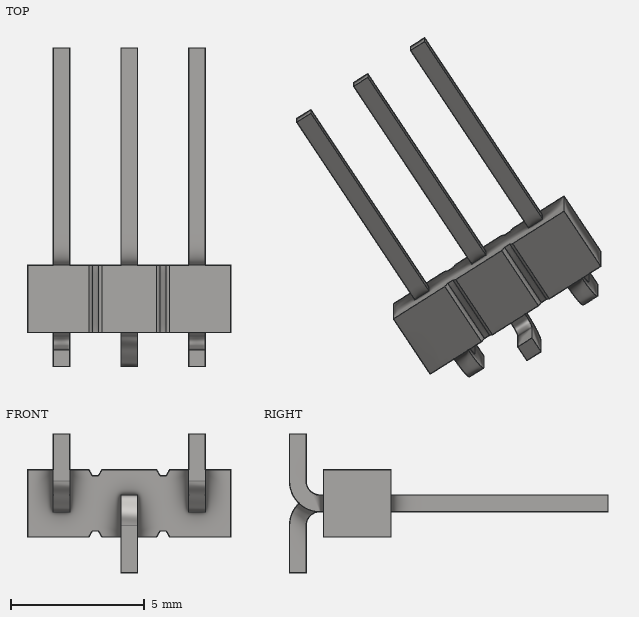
import cadquery as cq

pin_count = 3
pitch = 7.62 / pin_count
housing_length = pin_count * pitch
housing_side = 2.53
notch_mouth = 0.49
notch_floor = 0.23
notch_depth = 0.23

pin_side = 0.63
pin_half = pin_side / 2
bend_inner_radius = 0.51
bend_outer_radius = bend_inner_radius + pin_side
overall_depth = 11.94
overall_height = 5.2
front_reach = 1.28
foot_tip = overall_height / 2

pin_front = -housing_side / 2 - front_reach
pin_back = pin_front + overall_depth
bend_start = pin_front + bend_outer_radius
bend_height = bend_outer_radius - pin_half


def make_pin(x, direction):
    """Pin along Y whose front foot is bent up (direction 1) or down (-1)."""
    pin = (
        cq.Workplane("YZ")
        .moveTo(pin_back, -pin_half)
        .lineTo(bend_start, -pin_half)
        .radiusArc((pin_front, bend_height), bend_outer_radius)
        .lineTo(pin_front, foot_tip)
        .lineTo(pin_front + pin_side, foot_tip)
        .lineTo(pin_front + pin_side, bend_height)
        .radiusArc((bend_start, pin_half), -bend_inner_radius)
        .lineTo(pin_back, pin_half)
        .close()
        .extrude(pin_half, both=True)
    )
    if direction < 0:
        pin = pin.mirror("XY")
    return pin.translate((x, 0, 0))


def make_notch(x, side):
    """Cutter for a tapered notch across the top (side 1) or bottom (-1)."""
    face = side * housing_side / 2
    floor = face - side * notch_depth
    return (
        cq.Workplane("XZ")
        .polyline([
            (x - notch_mouth / 2, face),
            (x - notch_floor / 2, floor),
            (x + notch_floor / 2, floor),
            (x + notch_mouth / 2, face),
        ])
        .close()
        .extrude(housing_side / 2, both=True)
    )


def make_housing():
    """Notched block that carries the two outer pins as one piece."""
    housing = cq.Workplane("XY").box(housing_length, housing_side, housing_side)
    for x in (-pitch / 2, pitch / 2):
        for side in (1, -1):
            housing = housing.cut(make_notch(x, side))
    for x in (-pitch, pitch):
        housing = housing.union(make_pin(x, 1))
    return housing


middle_pin = make_pin(0, -1)
housing = make_housing().cut(middle_pin)

result = cq.Compound.makeCompound([housing.solids().val(), middle_pin.solids().val()])